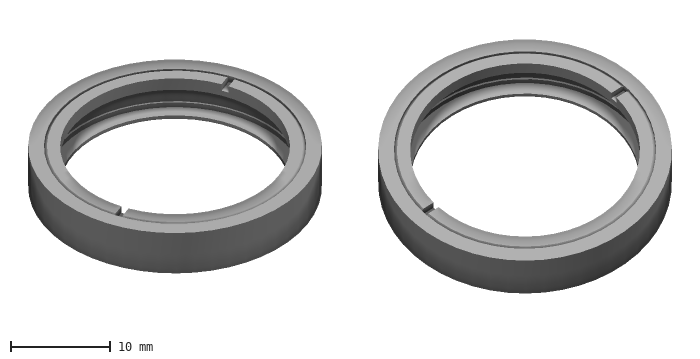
import cadquery as cq

outer_diameter = 29.4
height = 5.0
bore_radius = 13.1
seat_radius = 12.9
opening_radius = 11.5
lip_thickness = 0.4
seat_depth = 0.6

ring_thickness = 1.4
ring_chamfer = 0.3
slot_width = 0.8
slot_depth = 0.8


def make_housing():
    seat_top = lip_thickness + seat_depth
    body = cq.Workplane("XY").circle(outer_diameter / 2).circle(opening_radius).extrude(height)
    seat = cq.Workplane("XY").workplane(offset=lip_thickness).circle(seat_radius).extrude(seat_depth)
    bore = cq.Workplane("XY").workplane(offset=seat_top).circle(bore_radius).extrude(height - seat_top)
    return body.cut(seat).cut(bore)


def make_retaining_ring():
    disc = (
        cq.Workplane("XY")
        .workplane(offset=height - ring_thickness)
        .circle(bore_radius)
        .extrude(ring_thickness)
        .faces(">Z")
        .chamfer(ring_chamfer)
    )
    opening = (
        cq.Workplane("XY")
        .workplane(offset=height - ring_thickness)
        .circle(opening_radius)
        .extrude(ring_thickness)
    )
    slot_bar = (
        cq.Workplane("XY")
        .workplane(offset=height - slot_depth)
        .rect(slot_width, outer_diameter)
        .extrude(slot_depth)
    )
    return disc.cut(opening).cut(slot_bar)


housing = make_housing()
retaining_ring = make_retaining_ring()

result = cq.Compound.makeCompound([housing.solids().val(), retaining_ring.solids().val()])